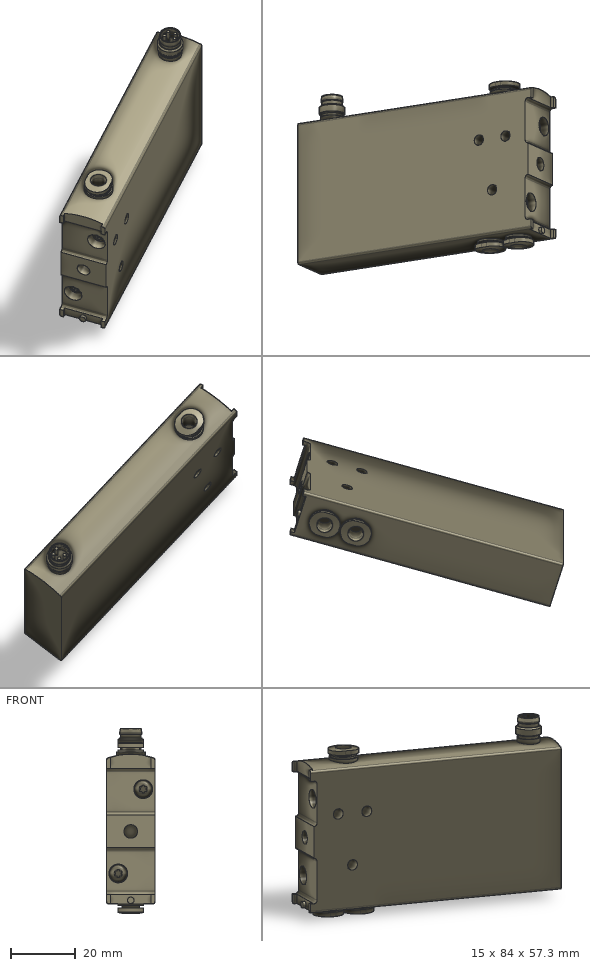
import cadquery as cq
import math

width = 15.0
length = 84.0
shoulder_z = 45.3
crown_z = 46.4
corner = 0.7

prong_depth = 1.1
prong_width = 1.3
hollow_depth = 2.1
upper_hollow = (27.55, 42.0)
lower_hollow = (2.9, 17.4)
cove_radius = hollow_depth - prong_depth

valve_y = 14.0
cross_hole_dia = 3.3
cross_hole_pitch = 9.6
upper_cross_z = 30.8
lower_cross_z = 14.2

screw_bore_dia = 5.8
screw_bore_depth = 3.9
screw_head_dia = 5.5
screw_head_height = 1.7
screw_head_round = 1.4
screw_socket_dia = 2.5
screw_socket_depth = 1.0
socket_lobes = 6
lobe_dia = 0.7
screw_x = 3.9
upper_screw_z = 35.5
lower_screw_z = 9.4
port_dia = 4.2
port_depth = 4.2
port_z = 22.4
stud_dia = 2.0
stud_length = 0.9
stud_z = 1.1

seat_dia = 8.0
seat_height = 0.6
fitting_neck_dia = 5.5
button_width = 8.0
button_length = 9.75
button_start = 1.3
button_edge = 2.5
rim_dia = 5.2
fitting_height = 2.9
fitting_bore_dia = 4.2
fitting_bore_depth = 6.7
lead_in_depth = 1.3
lead_in_dia = 4.9
collar_dia = 9.0
collar_top_z = 47.1
bottom_fitting_pitch = 10.1

connector_y = 76.1
connector_top_z = 54.35
embed = 2.5
connector_outline = [
    (7.2, 47.6),
    (6.5, 47.6),
    (6.5, 48.5),
    (7.2, 48.8),
    (8.0, 48.8),
    (8.0, 50.8),
    (6.9, 51.3),
    (6.5, 51.3),
    (6.5, 52.4),
    (6.9, 52.7),
    (6.9, 53.1),
    (6.5, connector_top_z),
]
cup_dia = 5.8
cup_depth = 4.2
cup_mouth = 0.2
contact_dia = 1.0
contact_drop = 0.3
contact_places = [(-1.2, 1.5), (1.2, 1.5), (-1.7, -0.5), (1.7, -0.5)]


def cylinder_up(dia, x, y, z_low, z_high):
    """Upright cylinder between two levels."""
    return cq.Workplane("XY", origin=(x, y, z_low)).circle(dia / 2).extrude(z_high - z_low)


def cylinder_back(dia, x, z, y_front, depth):
    """Cylinder that runs from y_front toward +Y."""
    return cq.Workplane("XZ", origin=(x, y_front, z)).circle(dia / 2).extrude(-depth)


def turned(outline):
    """Solid of revolution about Z from (diameter, level) pairs, closed along the axis."""
    points = [(dia / 2, level) for dia, level in outline]
    low = outline[0][1]
    high = outline[-1][1]
    profile = cq.Workplane("XZ").polyline([(0, low)] + points + [(0, high)]).close()
    return profile.revolve(360, (0, 0, 0), (0, 1, 0))


def housing():
    """Long block with a crowned top and rounded long edges."""
    half = width / 2
    flat = half - corner
    bend = corner * (1 - math.sqrt(0.5))
    section = (
        cq.Workplane("XZ")
        .moveTo(-flat, 0)
        .lineTo(flat, 0)
        .threePointArc((half - bend, bend), (half, corner))
        .lineTo(half, shoulder_z - corner)
        .threePointArc((half - bend, shoulder_z - bend), (flat, shoulder_z))
        .threePointArc((0, crown_z), (-flat, shoulder_z))
        .threePointArc((-half + bend, shoulder_z - bend), (-half, shoulder_z - corner))
        .lineTo(-half, corner)
        .threePointArc((-half + bend, bend), (-flat, 0))
        .close()
    )
    return section.extrude(-length)


def nose_hollow(z_low, z_high):
    """Shallow pocket across the nose with coved upper and lower corners."""
    pocket = cq.Workplane("XY").box(width, hollow_depth, z_high - z_low, centered=(True, False, False))
    return pocket.edges("|X and >Y").fillet(cove_radius).translate((0, 0, z_low))


def nose_gap(z_low, z_high):
    """Full-depth step of the nose between two levels."""
    gap_width = width - 2 * prong_width
    gap = cq.Workplane("XY").box(gap_width, prong_depth, z_high - z_low, centered=(True, False, False))
    return gap.translate((0, 0, z_low))


def shape_nose(body):
    pad_low = lower_hollow[1]
    pad_high = upper_hollow[0]
    pad_step = cq.Workplane("XY").box(width, prong_depth, pad_high - pad_low, centered=(True, False, False))
    body = body.cut(pad_step.translate((0, 0, pad_low)))
    body = body.cut(nose_hollow(*upper_hollow)).cut(nose_hollow(*lower_hollow))
    body = body.cut(nose_gap(upper_hollow[1], crown_z)).cut(nose_gap(0, lower_hollow[0]))
    body = body.cut(cylinder_back(port_dia, 0, port_z, prong_depth, port_depth))
    return body.union(cylinder_back(stud_dia, 0, stud_z, prong_depth - stud_length, stud_length + embed))


def drill_cross_holes(body):
    places = [
        (valve_y - cross_hole_pitch / 2, upper_cross_z),
        (valve_y + cross_hole_pitch / 2, upper_cross_z),
        (valve_y, lower_cross_z),
    ]
    drills = cq.Workplane("YZ").pushPoints(places).circle(cross_hole_dia / 2).extrude(width / 2, both=True)
    return body.cut(drills)


def add_screw(body, x, z):
    """Bore in the nose with a domed, lobed-socket screw on its floor."""
    floor_y = hollow_depth + screw_bore_depth
    head_y = floor_y - screw_head_height
    head = cylinder_back(screw_head_dia, x, z, head_y, screw_head_height)
    head = head.faces("<Y").edges().fillet(screw_head_round)
    lobe_circle = (screw_socket_dia - lobe_dia) / 2
    socket = cylinder_back(2 * lobe_circle, x, z, head_y, screw_socket_depth)
    lobes = (
        cq.Workplane("XZ", origin=(x, head_y, z))
        .polarArray(lobe_circle, 90, 360, socket_lobes)
        .circle(lobe_dia / 2)
        .extrude(-screw_socket_depth)
    )
    head = head.cut(socket).cut(lobes)
    bore = cylinder_back(screw_bore_dia, x, z, hollow_depth, screw_bore_depth)
    return body.cut(bore).union(head)


def fitting():
    """Push-in fitting standing on Z = 0, with a root below it."""
    stem = turned([
        (seat_dia, -embed),
        (seat_dia, seat_height),
        (fitting_neck_dia, seat_height),
        (fitting_neck_dia, button_start),
    ])
    cap = turned([
        (button_length, button_start),
        (button_length, button_edge),
        (rim_dia, fitting_height),
    ])
    oval = (
        cq.Workplane("XY", origin=(0, 0, button_start))
        .slot2D(button_length, button_width, 90)
        .extrude(fitting_height - button_start)
    )
    return stem.union(cap.intersect(oval))


def fitting_bore():
    """Blind bore with a tapered entry, placed like the fitting."""
    return turned([
        (fitting_bore_dia, fitting_height - fitting_bore_depth),
        (fitting_bore_dia, fitting_height - lead_in_depth),
        (lead_in_dia, fitting_height),
    ])


def add_fittings(body):
    """One fitting on a collar on top and two below, all bored out."""
    body = body.union(cylinder_up(collar_dia, 0, valve_y, crown_z - embed, collar_top_z))
    bore = fitting_bore()
    top_place = (0, valve_y, collar_top_z)
    body = body.union(fitting().translate(top_place)).cut(bore.translate(top_place))
    for side in (-1, 1):
        place = (0, valve_y + side * bottom_fitting_pitch / 2, 0)
        hanging = fitting().rotate((0, 0, 0), (0, 1, 0), 180).translate(place)
        hanging_bore = bore.rotate((0, 0, 0), (0, 1, 0), 180).translate(place)
        body = body.union(hanging).cut(hanging_bore)
    return body


def add_connector(body):
    """Stepped round connector with a cup that holds four contacts."""
    foot = (connector_outline[0][0], crown_z - embed)
    body = body.union(turned([foot] + connector_outline).translate((0, connector_y, 0)))
    cup_floor = connector_top_z - cup_depth
    cup = turned([
        (cup_dia, cup_floor),
        (cup_dia, connector_top_z - cup_mouth),
        (cup_dia + 2 * cup_mouth, connector_top_z),
    ])
    body = body.cut(cup.translate((0, connector_y, 0)))
    for x, y in contact_places:
        contact = cylinder_up(contact_dia, x, connector_y + y, cup_floor, connector_top_z - contact_drop)
        body = body.union(contact)
    return body


result = shape_nose(housing())
result = drill_cross_holes(result)
result = add_screw(result, screw_x, upper_screw_z)
result = add_screw(result, -screw_x, lower_screw_z)
result = add_fittings(result)
result = add_connector(result)